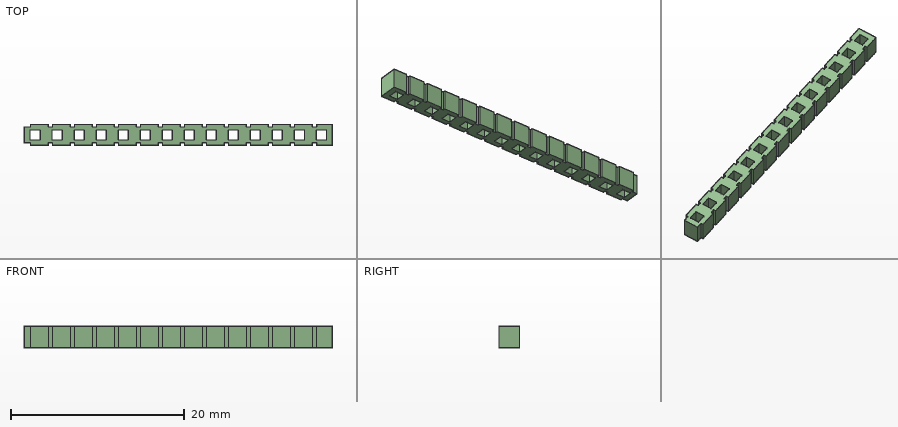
import cadquery as cq

length = 35.55
width = 2.42
height = 2.52

cell_count = 14
pitch = length / cell_count

hole_side = 1.15

notch_width = 0.45
notch_depth = 0.3
block_start = 0.7


def side_notch(x_start, x_end, side):
    """Full-height cutter on the +Y (side = 1) or -Y (side = -1) face."""
    y_center = side * (width - notch_depth) / 2
    return (
        cq.Workplane("XY")
        .box(x_end - x_start, notch_depth, height, centered=(False, True, False))
        .translate((x_start, y_center, 0))
    )


def contact_holes():
    """Square cutters, one through each cell center."""
    centers = [((cell + 0.5) * pitch, 0) for cell in range(cell_count)]
    return (
        cq.Workplane("XY")
        .pushPoints(centers)
        .rect(hole_side, hole_side)
        .extrude(height)
    )


strip = cq.Workplane("XY").box(length, width, height, centered=(False, True, False))
strip = strip.cut(contact_holes())

for cell in range(cell_count):
    notch_end = cell * pitch + block_start
    notch_start = 0 if cell == 0 else notch_end - notch_width
    for side in (-1, 1):
        strip = strip.cut(side_notch(notch_start, notch_end, side))

result = strip.translate((-length / 2, 0, -height / 2))